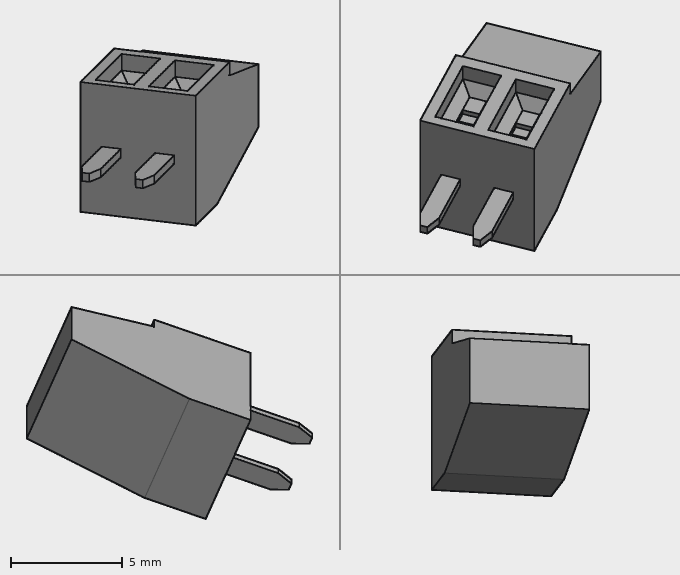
import cadquery as cq

overall_length = 12.14
body_width = 5.48
body_length = 8.64
body_height = 6.22
head_length = 4.65
step_height = 0.64
base_length = 2.96
back_bottom = 1.72
back_top = 4.73

pitch = 2.54
pole_positions = (-pitch / 2, pitch / 2)

pocket_width = 1.83
pocket_length = 3.59
pocket_front_wall = 0.47
pocket_inset = 0.51
straight_depth = 0.79
funnel_depth = pocket_inset
floor_width = pocket_width - 2 * pocket_inset
floor_length = pocket_length - 2 * pocket_inset
pocket_center_y = pocket_front_wall + pocket_length / 2
floor_z = body_height - straight_depth - funnel_depth

slot_length = 0.76
slot_depth = 0.24

pin_length = overall_length - body_length
pin_width = 0.91
pin_tip_width = 0.34
pin_thickness = 0.4
pin_taper_length = 0.75
pin_center_z = 3.05


def make_body():
    """Side profile extruded across the full width."""
    profile = [
        (0, 0),
        (base_length, 0),
        (body_length, back_bottom),
        (body_length, back_top),
        (head_length, body_height - step_height),
        (head_length, body_height),
        (0, body_height),
    ]
    return cq.Workplane("YZ").polyline(profile).close().extrude(body_width / 2, both=True)


def make_pocket(x):
    """Cutter for one screw pocket: straight shaft, funnel and floor slot."""
    shaft = (
        cq.Workplane("XY", origin=(x, pocket_center_y, body_height))
        .rect(pocket_width, pocket_length)
        .extrude(-straight_depth)
    )
    funnel = (
        cq.Workplane("XY", origin=(x, pocket_center_y, floor_z))
        .rect(floor_width, floor_length)
        .workplane(offset=funnel_depth)
        .rect(pocket_width, pocket_length)
        .loft(ruled=True)
    )
    slot = (
        cq.Workplane("XY", origin=(x, pocket_center_y, floor_z))
        .rect(floor_width, slot_length)
        .extrude(-slot_depth)
    )
    return shaft.union(funnel).union(slot)


def make_pin(x):
    """Flat pin pointing toward -Y, narrowing in width at its tip."""
    taper_start = pin_taper_length - pin_length
    outline = [
        (-pin_width / 2, 0),
        (-pin_width / 2, taper_start),
        (-pin_tip_width / 2, -pin_length),
        (pin_tip_width / 2, -pin_length),
        (pin_width / 2, taper_start),
        (pin_width / 2, 0),
    ]
    return (
        cq.Workplane("XY", origin=(x, 0, pin_center_z))
        .polyline(outline)
        .close()
        .extrude(pin_thickness / 2, both=True)
    )


result = make_body()
for pole_x in pole_positions:
    result = result.cut(make_pocket(pole_x)).union(make_pin(pole_x))